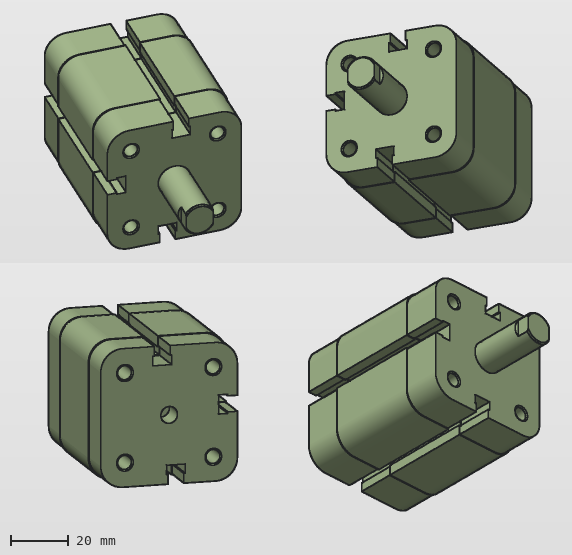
import cadquery as cq
import math

cap_length = 14.5
tube_length = 35.5
rod_reach = 26.0
tube_start = cap_length
front_cap_start = tube_start + tube_length
body_end = front_cap_start + cap_length

tube_size = 50.0
corner_radius = 8.0
cap_inset = 0.25

slot_offset = 2.5
slot_mouth_width = 5.2
slot_mouth_depth = 4.0
slot_inner_width = 6.3
slot_depth = 6.85
slot_angles = (0, 90, 180)

hole_spacing = 32.0
hole_diameter = 5.0
hole_mouth_diameter = 6.0
hole_mouth_chamfer = (hole_mouth_diameter - hole_diameter) / 2

centre_hole_diameter = 6.0
centre_hole_depth = 10.0

rod_diameter = 12.0
rod_chamfer = 0.5
flat_spacing = 10.0
flat_length = 5.0
flat_shoulder_angle = 30.0


def square_to_axis(start):
    """Sketch plane at X = start, with local x along Y and local y along Z."""
    return cq.Workplane("YZ", origin=(start, 0, 0))


def slot_cutter(start, length, inset):
    """T-slot opening through the +Z side, grown by the inset on all its walls."""
    half_mouth = slot_mouth_width / 2 + inset
    half_inner = slot_inner_width / 2 + inset
    outer_z = tube_size / 2
    ledge_z = outer_z - slot_mouth_depth + inset
    floor_z = outer_z - slot_depth - inset
    mouth = (
        square_to_axis(start)
        .center(slot_offset, (outer_z + floor_z) / 2)
        .rect(2 * half_mouth, outer_z - floor_z)
        .extrude(length)
    )
    inner = (
        square_to_axis(start)
        .center(slot_offset, (ledge_z + floor_z) / 2)
        .rect(2 * half_inner, ledge_z - floor_z)
        .extrude(length)
    )
    return mouth.union(inner)


def slotted_block(start, length, inset):
    """Rounded square block along X with the three slots and the four through holes."""
    side = tube_size - 2 * inset
    block = (
        square_to_axis(start)
        .rect(side, side)
        .extrude(length)
        .edges("|X")
        .fillet(corner_radius)
    )
    cutter = slot_cutter(start, length, inset)
    for angle in slot_angles:
        block = block.cut(cutter.rotate((0, 0, 0), (1, 0, 0), angle))
    holes = (
        square_to_axis(start)
        .rect(hole_spacing, hole_spacing, forConstruction=True)
        .vertices()
        .circle(hole_diameter / 2)
        .extrude(length)
    )
    return block.cut(holes)


def make_tube():
    return slotted_block(tube_start, tube_length, 0)


def make_cap(start, outer_face):
    """End cap with chamfered hole mouths on its outer face."""
    cap = slotted_block(start, cap_length, cap_inset)
    hole_size = cq.selectors.RadiusNthSelector(0)
    return cap.faces(outer_face).edges("%CIRCLE").edges(hole_size).chamfer(hole_mouth_chamfer)


def make_rear_cap():
    centre_hole = square_to_axis(0).circle(centre_hole_diameter / 2).extrude(centre_hole_depth)
    return make_cap(0, "<X").cut(centre_hole)


def make_front_cap():
    return make_cap(front_cap_start, ">X")


def flat_cutter():
    """Wedge-ended prism that cuts the wrench flat on the +Y side of the rod."""
    rod_end = body_end + rod_reach
    flat_y = flat_spacing / 2
    outer_y = rod_diameter
    lean = (outer_y - flat_y) * math.tan(math.radians(flat_shoulder_angle))
    return (
        cq.Workplane("XY")
        .moveTo(rod_end, flat_y)
        .lineTo(rod_end - flat_length, flat_y)
        .lineTo(rod_end - flat_length - lean, outer_y)
        .lineTo(rod_end, outer_y)
        .close()
        .extrude(rod_diameter / 2, both=True)
    )


def make_rod():
    rod = (
        square_to_axis(body_end)
        .circle(rod_diameter / 2)
        .extrude(rod_reach)
        .faces(">X")
        .chamfer(rod_chamfer)
    )
    cutter = flat_cutter()
    return rod.cut(cutter).cut(cutter.mirror("XZ"))


rear_cap = make_rear_cap()
tube = make_tube()
front_cap = make_front_cap()
rod = make_rod()

result = cq.Compound.makeCompound([rear_cap.val(), tube.val(), front_cap.val(), rod.val()])